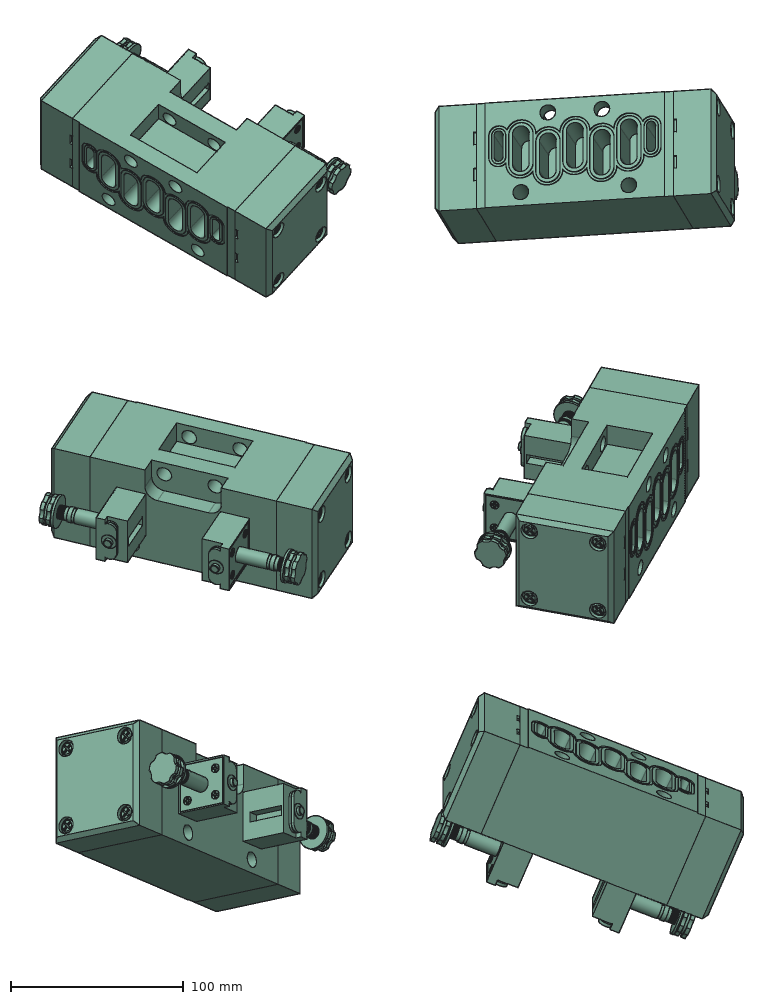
import cadquery as cq
import math

LENGTH = 166.0
HEIGHT = 64.0
VALVE_BACK = 60.0

BODY_HALF = 58.1
PAD_HALF = 53.0
PAD_RISE = 0.5

PORT_DEPTH = 24.9
PORT_TAPER = 1.5
PORT_PITCH = 16.0
PORT_STAGGER = 2.7
PORT_STRAIGHT = 18.0
PORT_RADIUS = 5.0
RIM_RADIUS = 7.1
PILOT_PORT_X = 45.0
PILOT_PORT_Z = 5.1
PILOT_PORT_STRAIGHT = 13.3
PILOT_PORT_RADIUS = 2.7
PILOT_RIM_RADIUS = 4.2
GROOVE_WIDTH = 1.7
GROOVE_DEPTH = 0.8

MOUNT_DIAMETER = 9.1
MOUNT_Z = 23.9

OPENING_HALF = 23.7
WINDOW_DEPTH = 13.3
WINDOW_FRONT = 10.5
WINDOW_BACK = 38.2
NOTCH_LENGTH = 10.5
NOTCH_DEPTH = 20.0
NOTCH_RADIUS = 7.8

CAP_CHAMFER = 2.7
CAP_SCREW_Y = (9.5, 51.1)
CAP_SCREW_Z = 23.4
COUNTERBORE_DIAMETER = 10.0
COUNTERBORE_DEPTH = 2.7
CAP_HEAD_DIAMETER = 8.0
CAP_HEAD_HEIGHT = 1.5
CAP_HEAD_CHAMFER = 0.8
CAP_CROSS_LENGTH = 5.0
TAB_SLOT_WIDTH = 1.8
TAB_SLOT_HEIGHT = 7.6
TAB_SLOT_DEPTH = 1.7
TAB_SLOT_Z = 11.1

BLOCK_OUTER_X = 41.5
BLOCK_INNER_X = 23.2
BLOCK_STEP_X = 35.9
BLOCK_BACK = 92.1
BLOCK_STEP_BACK = 88.5
BLOCK_HEIGHT = 29.9
FRAME_WIDTH = 1.0
FRAME_DEPTH = 0.7
AXIS_Y = 75.9
BLOCK_SCREW_PITCH_Y = 19.8
BLOCK_SCREW_PITCH_Z = 16.1
BLOCK_HEAD_DIAMETER = 5.1
BLOCK_HEAD_HEIGHT = 0.5
BLOCK_CROSS_LENGTH = 4.0
CROSS_WIDTH = 1.0
CROSS_DEPTH = 0.5

SOCKET_WIDTH = 22.2
SOCKET_TOP = 1.8
SOCKET_HEIGHT = 6.0
SOCKET_DEPTH = 6.6

CLAMP_X = 33.4
CLAMP_STRAIGHT = 16.1
CLAMP_BASE_RADIUS = 4.3
CLAMP_BASE_TOP = 90.1
CLAMP_BAR_RADIUS = 4.6
COLLAR_TOP = 92.5
CLAMP_PIN_DIAMETER = 5.1
CLAMP_PIN_TOP = 94.6
CLAMP_PIN_CHAMFER = 0.3

KNOB_FACE_X = 79.7
KNOB_FLANGE_X = 77.2
KNOB_GROOVE_X = 75.5
KNOB_SECOND_X = 73.0
DISC_OUTER_X = 72.4
DISC_INNER_X = 70.9
THREAD_END_X = 66.7
COLLAR_OUTER_X = 64.5
COLLAR_INNER_X = 61.8
STEM_X = 60.1
KNOB_RADIUS = 9.6
KNOB_CORE_RADIUS = 7.8
DISC_RADIUS = 10.0
NECK_RADIUS = 4.2
STEM_RADIUS = 4.6
LOBE_COUNT = 6
VALLEY_RADIUS = 8.5
VALLEY_CUTTER_RADIUS = 5.0
FIRST_VALLEY_ANGLE = 15.0
THREAD_GROOVES = 5
THREAD_GROOVE_DEPTH = 0.3


def box(x_range, y_range, z_range):
    """Box between two coordinates on each axis."""
    size = [high - low for low, high in (x_range, y_range, z_range)]
    return cq.Workplane("XY").box(*size, centered=False).translate((x_range[0], y_range[0], z_range[0]))


def x_cylinder(x_start, x_end, y, z, radius):
    """Cylinder along X between two X positions."""
    return cq.Workplane("YZ", origin=(x_start, y, z)).circle(radius).extrude(x_end - x_start)


def y_cylinder(x, z, y_start, y_end, radius):
    """Cylinder along Y between two Y positions."""
    return cq.Workplane("XZ", origin=(x, y_start, z)).circle(radius).extrude(y_start - y_end)


def upright_slot(x, z, straight, radius, y_start, y_end, taper=0):
    """Rounded slot standing along Z, running along +Y between two Y positions."""
    plane = cq.Plane(origin=(x, y_start, z), xDir=(-1, 0, 0), normal=(0, 1, 0))
    slot = cq.Workplane(plane).slot2D(straight + 2 * radius, 2 * radius, 90)
    return slot.extrude(y_end - y_start, taper=taper)


def cross_slots(x_face, y, z, length, angle):
    """Cross recess going in +X from a screw head that faces -X."""
    arm = cq.Workplane("YZ", origin=(x_face, y, z)).rect(length, CROSS_WIDTH).extrude(CROSS_DEPTH)
    end = (x_face + CROSS_DEPTH, y, z)
    arms = [arm.rotate((x_face, y, z), end, angle + turn) for turn in (0, 90)]
    return arms[0].union(arms[1])



def port_list():
    """Position, straight length, port radius and rim radius of every port."""
    ports = []
    for index in range(-2, 3):
        z = PORT_STAGGER if index % 2 == 0 else -PORT_STAGGER
        ports.append((index * PORT_PITCH, z, PORT_STRAIGHT, PORT_RADIUS, RIM_RADIUS))
    for x in (-PILOT_PORT_X, PILOT_PORT_X):
        ports.append((x, PILOT_PORT_Z, PILOT_PORT_STRAIGHT, PILOT_PORT_RADIUS, PILOT_RIM_RADIUS))
    return ports


def cut_ports(body):
    """Sink the gasket groove around all rims, then the ports themselves."""
    ports = port_list()
    for x, z, straight, port_radius, rim_radius in ports:
        groove = upright_slot(x, z, straight, rim_radius + GROOVE_WIDTH, 0, GROOVE_DEPTH)
        body = body.cut(groove)
    for x, z, straight, port_radius, rim_radius in ports:
        body = body.union(upright_slot(x, z, straight, rim_radius, 0, GROOVE_DEPTH))
    for x, z, straight, port_radius, rim_radius in ports:
        body = body.cut(upright_slot(x, z, straight, port_radius, 0, PORT_DEPTH, PORT_TAPER))
    return body


def cut_mounting_holes(body):
    """Two upper holes pass through the window and notch, two lower ones through solid body."""
    for side in (-1, 1):
        for x, z in ((side * PORT_PITCH, MOUNT_Z), (side * 2 * PORT_PITCH, -MOUNT_Z)):
            body = body.cut(y_cylinder(x, z, 0, VALVE_BACK, MOUNT_DIAMETER / 2))
    return body


def make_notch():
    """Notch cutter with rounded lower corners."""
    z_range = (HEIGHT / 2 - NOTCH_DEPTH, HEIGHT / 2)
    notch = box((-OPENING_HALF, OPENING_HALF), (VALVE_BACK - NOTCH_LENGTH, VALVE_BACK), z_range)
    return notch.edges("|Y and <Z").fillet(NOTCH_RADIUS)


def make_valve_body():
    z_range = (-HEIGHT / 2, HEIGHT / 2)
    body = box((-BODY_HALF, BODY_HALF), (PAD_RISE, VALVE_BACK), z_range)
    body = body.union(box((-PAD_HALF, PAD_HALF), (0, PAD_RISE), z_range))
    window_z = (HEIGHT / 2 - WINDOW_DEPTH, HEIGHT / 2)
    body = body.cut(box((-OPENING_HALF, OPENING_HALF), (WINDOW_FRONT, WINDOW_BACK), window_z))
    body = body.cut(make_notch())
    body = cut_ports(body)
    return cut_mounting_holes(body)



def add_cap_screw(cap, y, z):
    """Counterbore in the outer face with a cross-recessed screw head in it."""
    outer = -LENGTH / 2
    seat = outer + COUNTERBORE_DEPTH
    head_face = seat - CAP_HEAD_HEIGHT
    head = x_cylinder(head_face, seat, y, z, CAP_HEAD_DIAMETER / 2)
    head = head.faces("<X").chamfer(CAP_HEAD_CHAMFER)
    head = head.cut(cross_slots(head_face, y, z, CAP_CROSS_LENGTH, 45))
    cap = cap.cut(x_cylinder(outer, seat, y, z, COUNTERBORE_DIAMETER / 2))
    return cap.union(head)


def make_end_cap():
    cap = box((-LENGTH / 2, -BODY_HALF), (PAD_RISE, VALVE_BACK), (-HEIGHT / 2, HEIGHT / 2))
    cap = cap.faces("<X").chamfer(CAP_CHAMFER)
    for z in (-CAP_SCREW_Z, CAP_SCREW_Z):
        for y in CAP_SCREW_Y:
            cap = add_cap_screw(cap, y, z)
    for z in (-TAB_SLOT_Z, TAB_SLOT_Z):
        z_range = (z - TAB_SLOT_HEIGHT / 2, z + TAB_SLOT_HEIGHT / 2)
        y_range = (PAD_RISE, PAD_RISE + TAB_SLOT_DEPTH)
        cap = cap.cut(box((-BODY_HALF - TAB_SLOT_WIDTH, -BODY_HALF), y_range, z_range))
    return cap



def add_block_screws(block):
    """Four cross-recessed heads inside the framed outer face."""
    seat = -BLOCK_OUTER_X + FRAME_DEPTH
    head_face = seat - BLOCK_HEAD_HEIGHT
    for y_side in (-1, 1):
        for z_side in (-1, 1):
            y = AXIS_Y + y_side * BLOCK_SCREW_PITCH_Y / 2
            z = z_side * BLOCK_SCREW_PITCH_Z / 2
            head = x_cylinder(head_face, seat, y, z, BLOCK_HEAD_DIAMETER / 2)
            block = block.union(head.cut(cross_slots(head_face, y, z, BLOCK_CROSS_LENGTH, 0)))
    return block


def add_clamp(block):
    """Base, bar, collar and pin stacked along Y on the stepped back face."""
    base = upright_slot(-CLAMP_X, 0, CLAMP_STRAIGHT, CLAMP_BASE_RADIUS, BLOCK_STEP_BACK, CLAMP_BASE_TOP)
    bar = upright_slot(-CLAMP_X, 0, CLAMP_STRAIGHT, CLAMP_BAR_RADIUS, CLAMP_BASE_TOP, BLOCK_BACK)
    collar = y_cylinder(-CLAMP_X, 0, BLOCK_BACK, COLLAR_TOP, CLAMP_BAR_RADIUS)
    pin = y_cylinder(-CLAMP_X, 0, COLLAR_TOP, CLAMP_PIN_TOP, CLAMP_PIN_DIAMETER / 2)
    pin = pin.faces(">Y").chamfer(CLAMP_PIN_CHAMFER)
    return block.union(base).union(bar).union(collar).union(pin)


def make_pilot_block():
    half = BLOCK_HEIGHT / 2
    block = box((-BLOCK_OUTER_X, -BLOCK_INNER_X), (VALVE_BACK, BLOCK_STEP_BACK), (-half, half))
    block = block.union(box((-BLOCK_OUTER_X, -BLOCK_STEP_X), (VALVE_BACK, BLOCK_BACK), (-half, half)))
    inset = half - FRAME_WIDTH
    frame_y = (VALVE_BACK + FRAME_WIDTH, BLOCK_BACK - FRAME_WIDTH)
    block = block.cut(box((-BLOCK_OUTER_X, -BLOCK_OUTER_X + FRAME_DEPTH), frame_y, (-inset, inset)))
    socket_y = (AXIS_Y - SOCKET_WIDTH / 2, AXIS_Y + SOCKET_WIDTH / 2)
    socket_z = (SOCKET_TOP - SOCKET_HEIGHT, SOCKET_TOP)
    block = block.cut(box((-BLOCK_INNER_X - SOCKET_DEPTH, -BLOCK_INNER_X), socket_y, socket_z))
    block = add_block_screws(block)
    return add_clamp(block)



def scallop(operator):
    """Cut the finger valleys along both knob flanges."""
    centre_radius = VALLEY_RADIUS + VALLEY_CUTTER_RADIUS
    for index in range(LOBE_COUNT):
        angle = math.radians(FIRST_VALLEY_ANGLE + index * 360 / LOBE_COUNT)
        y = AXIS_Y + centre_radius * math.cos(angle)
        z = centre_radius * math.sin(angle)
        operator = operator.cut(x_cylinder(-KNOB_FACE_X, -KNOB_SECOND_X, y, z, VALLEY_CUTTER_RADIUS))
    return operator


def cut_thread(operator):
    """Evenly spaced ring grooves between the disc and the neck."""
    pitch = (DISC_INNER_X - THREAD_END_X) / THREAD_GROOVES
    for index in range(THREAD_GROOVES):
        start = -DISC_INNER_X + (index + 0.5) * pitch
        ring = x_cylinder(start, start + pitch / 2, AXIS_Y, 0, NECK_RADIUS)
        core = x_cylinder(start, start + pitch / 2, AXIS_Y, 0, NECK_RADIUS - THREAD_GROOVE_DEPTH)
        operator = operator.cut(ring.cut(core))
    return operator


def make_operator():
    sections = (
        (KNOB_FACE_X, KNOB_FLANGE_X, KNOB_RADIUS),
        (KNOB_FLANGE_X, KNOB_GROOVE_X, KNOB_CORE_RADIUS),
        (KNOB_GROOVE_X, KNOB_SECOND_X, KNOB_RADIUS),
        (KNOB_SECOND_X, DISC_OUTER_X, KNOB_CORE_RADIUS),
        (DISC_OUTER_X, DISC_INNER_X, DISC_RADIUS),
        (DISC_INNER_X, COLLAR_OUTER_X, NECK_RADIUS),
        (COLLAR_OUTER_X, COLLAR_INNER_X, STEM_RADIUS),
        (COLLAR_INNER_X, STEM_X, NECK_RADIUS),
        (STEM_X, BLOCK_OUTER_X - FRAME_DEPTH, STEM_RADIUS),
    )
    operator = cq.Workplane("XY")
    for outer_x, inner_x, radius in sections:
        operator = operator.union(x_cylinder(-outer_x, -inner_x, AXIS_Y, 0, radius))
    return cut_thread(scallop(operator))



valve_body = make_valve_body()
bodies = [valve_body.val()]
for make_body in (make_end_cap, make_pilot_block, make_operator):
    left_body = make_body()
    right_body = left_body.mirror("YZ")
    bodies.append(left_body.val())
    bodies.append(right_body.val())

result = cq.Compound.makeCompound(bodies)